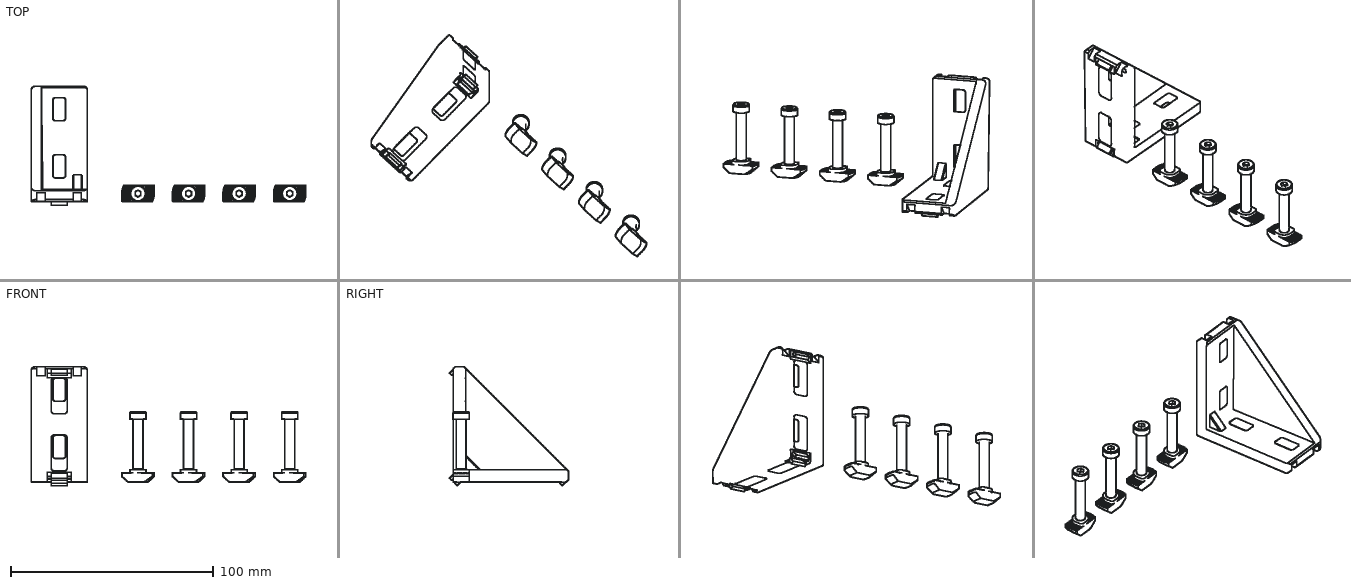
import cadquery as cq
import math

LEG = 57.1
WIDTH = 27.9
MIDDLE = WIDTH / 2
WALL = 6.3
TIP = 5.5
GUSSET = 5.2
DRAFT = 1.1
END_ROUND = 2.0
END_CHAMFER = 1.1
CORNER_ROUND = 1.2
SIDE_ROUND = 0.4
INNER_ROUND = 0.7

RIB_WIDTH = 4.5
RIB_REACH = 7.1
RIB_X = 23.0
RIB_CHAMFER = 0.4

SLOT_OUTER_WIDTH = 8.0
SLOT_INNER_WIDTH = 6.1
SLOT_START = 5.6
SLOT_OUTER_LENGTH = 17.8
SLOT_FAR_LEAN = 0.3
SLOT_PITCH = 28.3
SLOT_COUNT = 2
SLOT_OUTER_ROUND = 1.6
SLOT_INNER_ROUND = 1.1

TAB_WIDTH = SLOT_OUTER_WIDTH
TAB_REACH = 1.8
TAB_SPAN = 2.3
GROOVE_WIDTH = 12.0
END_GROOVE = 4.5
END_GROOVE_FAR = LEG - END_CHAMFER
CORNER_GROOVE = 5.0
END_TAB_FAR = 55.8
CORNER_TAB_FAR = 3.8
RIDGE_HEIGHT = 1.6
RIDGE_HALF = 0.7

NOTCH_WIDTH = 4.1
NOTCH_DEPTH = 4.4
NOTCH_OFFSET = 9.0

FASTENER_COUNT = 4
FASTENER_PITCH = 25.0
TOTAL_LENGTH = 136.0
NUT_HALF_LENGTH = 8.0
NUT_WIDTH = 8.0
NUT_HALF_WIDTH = NUT_WIDTH / 2
NUT_HEIGHT = 4.6
NUT_BASE_HALF = 4.9
NUT_EDGE = 1.8
NUT_CORNER = 0.7
COLLAR_HEIGHT = 1.6
COLLAR_CORNER = 1.4
TEETH_PITCH = 0.8
TEETH_COUNT = 9

BOLT_LENGTH = 24.9
SHAFT_DIAMETER = 5.0
SHAFT_RADIUS = SHAFT_DIAMETER / 2
HEAD_RADIUS = 4.1
HEAD_HEIGHT = 3.7
HEAD_CHAMFER_HEIGHT = 0.7
HEAD_CHAMFER_INSET = 0.4
SHAFT_EASE = 0.3
SOCKET_CORNERS = 3.4
SOCKET_DEPTH = 1.6
SOCKET_CONE = 0.8

LAST_FASTENER_X = TOTAL_LENGTH - NUT_HALF_LENGTH


def across(points, middle, width):
    """Prism along X from an outline of (y, z) points."""
    return cq.Workplane("YZ").workplane(offset=middle - width / 2).polyline(points).close().extrude(width)


def diagonal(points, middle, width):
    """Prism along X from an outline of (y + z, z - y) points, which follow the two diagonals."""
    return across([((s - d) / 2, (s + d) / 2) for s, d in points], middle, width)


def on_other_leg(shape):
    """Copy of a shape, moved from the upright leg to the flat leg by swapping Y and Z."""
    return shape.mirror("XY").rotate((0, 0, 0), (1, 0, 0), 90)


def beyond_leaning_face(x):
    """Large block whose left face passes through x at the gusset slope and leans inward below it."""
    slope_middle = (LEG + TIP) / 2
    block = cq.Workplane("XY").box(2 * LEG, 4 * LEG, 4 * LEG, centered=(False, True, True))
    block = block.rotate((0, 0, 0), (0, -1, 1), DRAFT)
    return block.translate((x, slope_middle, slope_middle))


def make_rib():
    inner = WALL + RIB_REACH
    rib = across([(0, 0), (inner + WALL, 0), (0, inner + WALL)], RIB_X, RIB_WIDTH)
    return rib.faces(">(0, 1, 1)").edges("not |X").chamfer(RIB_CHAMFER)


def make_cavity():
    """Open space between the legs, beside the gusset and around the rib."""
    space = across([(WALL, WALL), (2 * LEG, WALL), (2 * LEG, 2 * LEG), (WALL, 2 * LEG)], LEG, 2 * LEG)
    space = space.edges("|X and <(0, 1, 1)").fillet(INNER_ROUND)
    return space.intersect(beyond_leaning_face(GUSSET)).cut(make_rib())


def make_blank():
    """Solid triangular block with all its outer edges finished."""
    outline = [(0, 0), (LEG, 0), (LEG, TIP), (TIP, LEG), (0, LEG)]
    blank = across(outline, MIDDLE, WIDTH).intersect(beyond_leaning_face(0))
    blank = blank.faces(">Z").edges("not |X").fillet(END_ROUND)
    blank = blank.faces(">Y").edges("not |X").fillet(END_ROUND)
    blank = blank.edges("|X").edges("<(0, 1, 1)").fillet(CORNER_ROUND)
    return blank.faces("<Y").edges("not |X").fillet(SIDE_ROUND)


def make_slot(start):
    """Tapered slot cutter through the upright leg; its near end slopes at 45 degrees."""
    inner_length = SLOT_OUTER_LENGTH - WALL - SLOT_FAR_LEAN
    outer_middle = start + SLOT_OUTER_LENGTH / 2
    inner_middle = start + WALL + inner_length / 2
    outer = cq.Sketch().rect(SLOT_OUTER_WIDTH, SLOT_OUTER_LENGTH).vertices().fillet(SLOT_OUTER_ROUND)
    inner = cq.Sketch().rect(SLOT_INNER_WIDTH, inner_length).vertices().fillet(SLOT_INNER_ROUND)
    return (
        cq.Workplane("XZ")
        .placeSketch(
            outer.moved(cq.Location(cq.Vector(MIDDLE, outer_middle, 0))),
            inner.moved(cq.Location(cq.Vector(MIDDLE, inner_middle, -WALL))),
        )
        .loft()
    )


def make_end_groove():
    far = END_GROOVE_FAR
    near = far - END_GROOVE
    return diagonal([(far, far), (far, near), (near, near)], MIDDLE, GROOVE_WIDTH)


def make_corner_groove():
    """Groove across the bracket corner, with a low ridge along its floor."""
    floor = CORNER_GROOVE
    ridge = floor - RIDGE_HEIGHT
    groove = diagonal([(0, 0), (floor, floor), (floor, -floor)], MIDDLE, GROOVE_WIDTH)
    ridge_outline = [(floor, -RIDGE_HALF), (ridge, -RIDGE_HALF), (ridge, RIDGE_HALF), (floor, RIDGE_HALF)]
    return groove.cut(diagonal(ridge_outline, MIDDLE, GROOVE_WIDTH))


def make_tab(root, far):
    """Tab from a groove floor to TAB_REACH outside the upright leg."""
    tip = far - 2 * TAB_REACH
    near = far - TAB_SPAN
    return diagonal([(root, far), (tip, far), (tip, near), (root, near)], MIDDLE, TAB_WIDTH)


def make_notch(middle):
    bottom = LEG - NOTCH_DEPTH
    return across([(0, bottom), (0, LEG), (NOTCH_DEPTH, LEG)], middle, NOTCH_WIDTH)


def make_end_chamfer():
    return across([(0, LEG - END_CHAMFER), (0, LEG), (END_CHAMFER, LEG)], MIDDLE, WIDTH)


def make_bracket():
    body = make_blank().cut(make_cavity())
    cutters = [make_end_chamfer(), make_end_groove()]
    cutters += [make_slot(SLOT_START + i * SLOT_PITCH) for i in range(SLOT_COUNT)]
    cutters += [make_notch(MIDDLE + side * NOTCH_OFFSET) for side in (-1, 1)]
    for cutter in cutters:
        body = body.cut(cutter).cut(on_other_leg(cutter))
    body = body.cut(make_corner_groove())
    tabs = [make_tab(END_GROOVE_FAR, END_TAB_FAR), make_tab(CORNER_GROOVE, CORNER_TAB_FAR)]
    for tab in tabs:
        body = body.union(tab).union(on_other_leg(tab))
    return body


def make_nut(x):
    """T-nut with two opposite corners turned round, so that it can twist in its channel."""
    length = NUT_HALF_LENGTH
    width = NUT_HALF_WIDTH
    profile = [
        (-NUT_BASE_HALF, 0),
        (NUT_BASE_HALF, 0),
        (length, NUT_HEIGHT - NUT_EDGE),
        (length, NUT_HEIGHT),
        (-length, NUT_HEIGHT),
        (-length, NUT_HEIGHT - NUT_EDGE),
    ]
    straight = cq.Workplane("XZ").polyline(profile).close().extrude(width, both=True)
    straight = straight.edges("|Z and <(1, 1, 0)").fillet(NUT_CORNER)
    half_profile = [(0, 0), *profile[1:4], (0, NUT_HEIGHT)]
    turned = cq.Workplane("XZ").polyline(half_profile).close().revolve(360, (0, 0, 0), (0, 1, 0))
    nut = straight
    for side in (-1, 1):
        corner = (
            cq.Workplane("XY")
            .box(length, width, NUT_HEIGHT, centered=(True, True, False))
            .translate((side * length / 2, -side * width / 2, 0))
        )
        nut = nut.cut(corner.cut(turned))
    nut = nut.cut(make_teeth_grooves()).union(make_collar())
    return nut.translate((x, width, 0))


def make_teeth_grooves():
    """V grooves along X that leave teeth on top of a nut."""
    half = TEETH_PITCH / 2
    bottom = NUT_HEIGHT - half
    grooves = cq.Workplane("XY")
    for i in range(TEETH_COUNT):
        y = (i - (TEETH_COUNT - 1) / 2) * TEETH_PITCH
        points = [(y - half, NUT_HEIGHT), (y, bottom), (y + half, NUT_HEIGHT)]
        grooves = grooves.add(across(points, 0, 2 * NUT_HALF_LENGTH))
    return grooves.combine()


def make_collar():
    """Round collar with two opposite corners filled out to a square, rooted below the teeth."""
    radius = NUT_HALF_WIDTH
    root = NUT_HEIGHT / 2
    height = NUT_HEIGHT + COLLAR_HEIGHT - root
    base = cq.Workplane("XY").workplane(offset=root)
    collar = base.circle(radius).extrude(height)
    for side, outer_edge in ((-1, "<(1, 1, 0)"), (1, ">(1, 1, 0)")):
        corner = base.center(side * radius / 2, side * radius / 2).rect(radius, radius).extrude(height)
        collar = collar.union(corner.edges("|Z").edges(outer_edge).fillet(COLLAR_CORNER))
    return collar


def make_bolt(x):
    """Socket head bolt standing on the collar of its nut."""
    bottom = NUT_HEIGHT + COLLAR_HEIGHT
    head_bottom = bottom + BOLT_LENGTH
    head_top = head_bottom + HEAD_HEIGHT
    shaft = cq.Workplane("XY").workplane(offset=bottom).circle(SHAFT_RADIUS).extrude(BOLT_LENGTH)
    head = cq.Workplane("XY").workplane(offset=head_bottom).circle(HEAD_RADIUS).extrude(HEAD_HEIGHT)
    head = head.faces(">Z").edges().chamfer(HEAD_CHAMFER_HEIGHT, HEAD_CHAMFER_INSET)
    socket = (
        cq.Workplane("XY", origin=(0, 0, head_top))
        .transformed(rotate=(0, 0, 90))
        .polygon(6, SOCKET_CORNERS)
        .extrude(-SOCKET_DEPTH)
    )
    cone_radius = SOCKET_CORNERS / 2 * math.cos(math.pi / 6)
    cone_base = cq.Vector(0, 0, head_top - SOCKET_DEPTH)
    cone = cq.Solid.makeCone(cone_radius, 0, SOCKET_CONE, cone_base, cq.Vector(0, 0, -1))
    shaft = shaft.faces("<Z").edges().chamfer(SHAFT_EASE)
    bolt = shaft.union(head)
    bolt = bolt.edges(cq.selectors.RadiusNthSelector(1)).edges(">Z").fillet(SHAFT_EASE)
    return bolt.cut(socket).cut(cone).translate((x, NUT_HALF_WIDTH, 0))


bracket = make_bracket()
fastener_places = [LAST_FASTENER_X - i * FASTENER_PITCH for i in range(FASTENER_COUNT)]
nuts = [make_nut(x) for x in fastener_places]
bolts = [make_bolt(x) for x in fastener_places]

result = cq.Compound.makeCompound(
    [body.solids().val() for body in [bracket, *nuts, *bolts]]
)